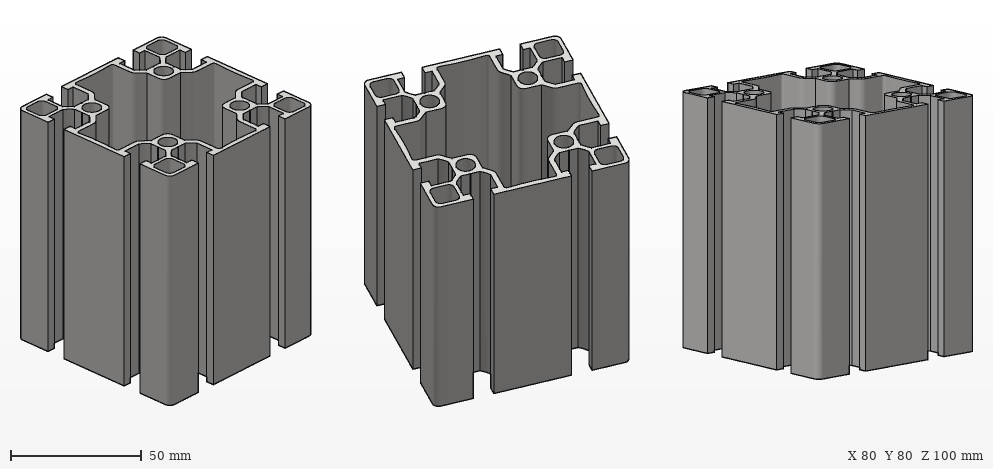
import cadquery as cq
import math

width = 80.0
length = 100.0
half_width = width / 2
outer_corner_radius = 2.5

slot_center = 20.0
slot_opening = 8.3
slot_width = 14.0
slot_depth = 14.5
slot_lip = 3.5
slot_chamfer = 3.2
slot_chamfer_bow = 0.2
groove_width = 0.4
groove_depth = 0.2

core_bore = 7.5
corner_wall = 1.7
corner_inner_wall = 1.6
corner_chamber_radius = 2.2

web = 2.3
slope_web = 2.6
skin_edge = 1.8
skin_middle = 2.3
cavity_corner_radius = 1.1
web_bend_radius = 3.5
slope_bow = 0.15
core_radius = 2.8

slot_offset = half_width - slot_center
core_half = slot_center - slot_depth
arm_half = slot_offset - slot_width / 2 - web
core_inner = slot_offset - core_half
arm_end = half_width - skin_edge
arm_bulge = half_width - skin_middle
chamfer_sum = (slot_offset - slot_width / 2) + (half_width - slot_depth + slot_chamfer)
slope_sum = chamfer_sum - slope_web * math.sqrt(2)
bend_end = slope_sum - arm_half
core_start = slope_sum - core_inner
bulge_height = skin_middle - skin_edge
bulge_radius = (arm_half**2 + bulge_height**2) / (2 * bulge_height)


def turned(body, quarter):
    """Rotate a body by a number of quarter turns about the profile axis."""
    return body.rotate((0, 0, 0), (0, 0, 1), 90 * quarter)


def bowed_middle(start, end, bow):
    """Point a distance bow to the right of the middle of the line from start to end."""
    dx = end[0] - start[0]
    dy = end[1] - start[1]
    span = math.hypot(dx, dy)
    middle_x = (start[0] + end[0]) / 2 + bow * dy / span
    middle_y = (start[1] + end[1]) / 2 - bow * dx / span
    return middle_x, middle_y


def t_slot(offset):
    """T-slot opening on the +Y side, centred at x = offset."""
    opening = slot_opening / 2
    inside = slot_width / 2
    floor = half_width - slot_depth
    lip = half_width - slot_lip
    floor_end = (inside - slot_chamfer, floor)
    wall_start = (inside, floor + slot_chamfer)
    half = (
        cq.Workplane("XY")
        .moveTo(0, floor - groove_depth)
        .lineTo(groove_width / 2, floor)
        .lineTo(*floor_end)
        .threePointArc(bowed_middle(floor_end, wall_start, slot_chamfer_bow), wall_start)
        .lineTo(inside, lip)
        .lineTo(opening, lip)
        .lineTo(opening, half_width)
        .lineTo(0, half_width)
        .close()
        .extrude(length)
    )
    return half.union(half.mirror("YZ")).translate((offset, 0, 0))


def corner_chamber():
    """Closed square chamber in the (+X, +Y) corner."""
    outer = half_width - corner_wall
    inner = slot_offset + slot_width / 2 + corner_inner_wall
    center = (outer + inner) / 2
    side = outer - inner
    chamber = cq.Workplane("XY").center(center, center).rect(side, side).extrude(length)
    return chamber.edges("|Z").fillet(corner_chamber_radius)


def bore():
    """Round bore through the core boss in the (+X, +Y) quarter."""
    return cq.Workplane("XY").center(slot_offset, slot_offset).circle(core_bore / 2).extrude(length)


def cavity_arm():
    """Quarter of the central cavity reaching to the +Y side, with a bulged end."""
    bend = (arm_half, bend_end)
    core = (core_inner, core_start)
    half = (
        cq.Workplane("XY")
        .lineTo(core_inner, core_inner)
        .lineTo(*core)
        .threePointArc(bowed_middle(core, bend, slope_bow), bend)
        .lineTo(arm_half, arm_end)
        .radiusArc((0, arm_bulge), bulge_radius)
        .close()
        .extrude(length)
    )
    return half.union(half.mirror("YZ"))


def edges_at(body, x, y):
    """Lengthwise edges at the four-fold and mirrored copies of the point (x, y)."""
    tolerance = 0.01
    places = sorted((abs(x), abs(y)))

    def matches(edge):
        center = edge.Center()
        found = sorted((abs(center.x), abs(center.y)))
        return all(abs(a - b) < tolerance for a, b in zip(found, places))

    return body.edges("|Z").filter(matches)


def cavity():
    """Central cavity: four arms joined between the core bosses."""
    body = cavity_arm()
    for quarter in range(1, 4):
        body = body.union(turned(cavity_arm(), quarter))
    body = body.clean()
    body = edges_at(body, core_inner, core_inner).fillet(core_radius)
    body = edges_at(body, arm_half, bend_end).fillet(web_bend_radius)
    return edges_at(body, arm_half, arm_end).fillet(cavity_corner_radius)


bar = cq.Workplane("XY").rect(width, width).extrude(length)
result = bar.edges("|Z").fillet(outer_corner_radius).cut(cavity())
for quarter in range(4):
    for offset in (-slot_offset, slot_offset):
        result = result.cut(turned(t_slot(offset), quarter))
    result = result.cut(turned(corner_chamber(), quarter))
    result = result.cut(turned(bore(), quarter))